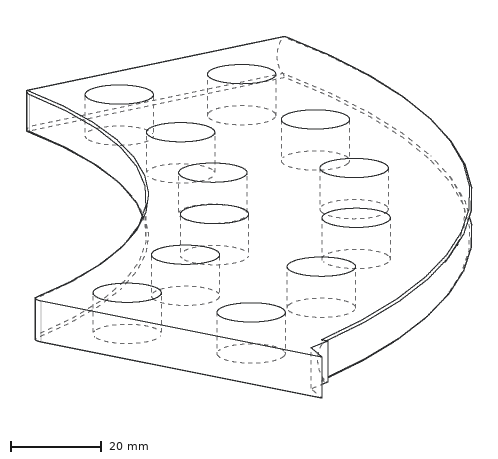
import cadquery as cq
import math

thickness = 9.5
sector_angle = 72.0
overall_length = 201.5
outer_radius = overall_length / math.sin(math.radians(sector_angle))
inner_radius = 139.9
corner_radius = 3.0

rim_bevel = 0.5
end_bevel_width = 1.5

groove_depth = 1.6

lug_tip_radius = 219.0
lug_heel_radius = 212.8
lug_width = 4.6
heel_length = 11.0

hole_diameter = 15.1
hole_row_radii = (155.5, 187.0)
holes_per_row = 6
hole_pitch = sector_angle / holes_per_row


def polar(radius, angle):
    """Point at a radius and an angle in degrees about the sector centre."""
    radians = math.radians(angle)
    return (radius * math.cos(radians), radius * math.sin(radians))


def ring_sector():
    """Radial section with bevelled rims and the concave groove, swept through the sector."""
    return (
        cq.Workplane("XZ")
        .moveTo(inner_radius, rim_bevel)
        .lineTo(inner_radius + rim_bevel, 0)
        .lineTo(outer_radius - rim_bevel, 0)
        .lineTo(outer_radius, rim_bevel)
        .threePointArc(
            (outer_radius - groove_depth, thickness / 2),
            (outer_radius, thickness - rim_bevel),
        )
        .lineTo(outer_radius - rim_bevel, thickness)
        .lineTo(inner_radius + rim_bevel, thickness)
        .lineTo(inner_radius, thickness - rim_bevel)
        .close()
        .revolve(-sector_angle, (0, 0, 0), (0, 1, 0))
    )


def lug():
    """Full-height pointed lug and heel, rooted in solid material behind the groove."""
    root_radius = outer_radius - 2 * groove_depth
    outline = [
        (root_radius, 0),
        (lug_tip_radius, 0),
        (lug_heel_radius, lug_width),
        (lug_heel_radius, heel_length),
        (root_radius, heel_length),
    ]
    return cq.Workplane("XY").polyline(outline).close().extrude(thickness)


def end_bevels():
    """Wedges that bevel the top and bottom edges of the far end face."""
    wedges = cq.Workplane("YZ")
    for face_height, bevel_height in ((0, rim_bevel), (thickness, thickness - rim_bevel)):
        section = [(0, bevel_height), (0, face_height), (-end_bevel_width, face_height)]
        wedges = wedges.add(cq.Workplane("YZ").polyline(section).close().extrude(lug_tip_radius))
    return wedges.combine().rotate((0, 0, 0), (0, 0, 1), sector_angle)


def rounded_sector():
    """Plain oversize sector whose two inner corners are rounded, used to trim the plate's corners."""
    middle_angle = sector_angle / 2
    block = (
        cq.Workplane("XY")
        .moveTo(inner_radius, 0)
        .lineTo(lug_tip_radius, 0)
        .threePointArc(polar(lug_tip_radius, middle_angle), polar(lug_tip_radius, sector_angle))
        .lineTo(*polar(inner_radius, sector_angle))
        .threePointArc(polar(inner_radius, middle_angle), (inner_radius, 0))
        .close()
        .extrude(thickness)
    )
    for angle in (0, sector_angle):
        corner = polar(inner_radius, angle) + (thickness / 2,)
        block = block.edges(cq.selectors.NearestToPointSelector(corner)).fillet(corner_radius)
    return block


def holes():
    """All through holes as one cutting body."""
    centres = [
        polar(radius, hole_pitch * (index + 0.5))
        for radius in hole_row_radii
        for index in range(holes_per_row)
    ]
    return cq.Workplane("XY").pushPoints(centres).circle(hole_diameter / 2).extrude(thickness)


plate = ring_sector().cut(end_bevels()).intersect(rounded_sector())
result = plate.union(lug()).cut(holes())